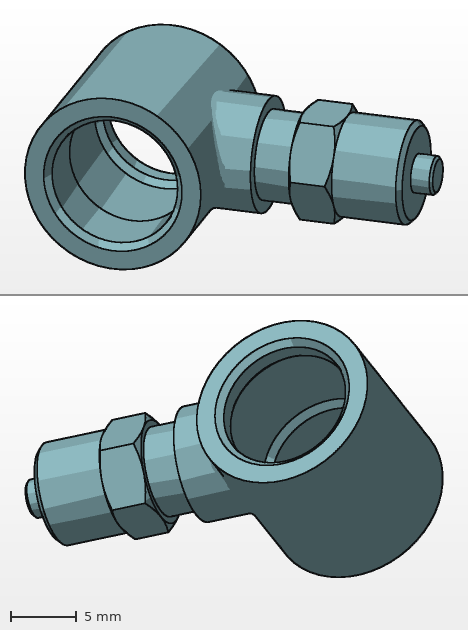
import cadquery as cq
import math

tube_diameter = 14.0
tube_length = 15.0
tube_front = -9.0
tube_back = tube_front + tube_length
bore_diameter = 10.0
bore_chamfer = 0.5
groove_depth = 0.45
groove_wall_angle = 35.0
groove_half_width = 4.15

collar_diameter = 9.0
collar_end = 9.5
collar_fillet = 0.5
neck_diameter = 7.0
nut_across_flats = 8.0
nut_start = 12.4
nut_end = 15.8
nut_chamfer_angle = 30.0
body_diameter = 8.0
body_end = 21.3
body_chamfer = 0.4
stem_diameter = 3.0
overall_length = 30.0
stem_end = overall_length - tube_diameter / 2
stem_chamfer = 0.2


def rod(diameter, start, end):
    """Round bar along X between two stations."""
    return cq.Workplane("YZ").workplane(offset=start).circle(diameter / 2).extrude(end - start)


def make_nut():
    """Hexagon with corners on Y and both ends coned down to the flats."""
    length = nut_end - nut_start
    corner_radius = nut_across_flats / math.sqrt(3)
    flat_radius = nut_across_flats / 2
    cone_length = (corner_radius - flat_radius) * math.tan(math.radians(nut_chamfer_angle))
    hexagon = cq.Workplane("YZ").workplane(offset=nut_start).polygon(6, 2 * corner_radius).extrude(length)
    coned_blank = (
        cq.Workplane("XY")
        .moveTo(nut_start, 0)
        .lineTo(nut_start, flat_radius)
        .lineTo(nut_start + cone_length, corner_radius)
        .lineTo(nut_end - cone_length, corner_radius)
        .lineTo(nut_end, flat_radius)
        .lineTo(nut_end, 0)
        .close()
        .revolve(360, (0, 0, 0), (1, 0, 0))
    )
    return hexagon.intersect(coned_blank)


def make_tube_with_collar():
    """Solid tube blank and collar, blended along the curve where they meet."""
    tube = cq.Workplane("XZ", origin=(0, tube_back, 0)).circle(tube_diameter / 2).extrude(tube_length)
    collar = rod(collar_diameter, 0, collar_end)
    joint_box = cq.selectors.BoxSelector(
        (0.3, -collar_diameter, -collar_diameter),
        (collar_end - 0.3, collar_diameter, collar_diameter),
        boundingbox=True,
    )
    joint = cq.selectors.SubtractSelector(joint_box, cq.selectors.TypeSelector("LINE"))
    return tube.union(collar).edges(joint).fillet(collar_fillet)


def make_bore():
    """Cutter for the through bore, with a chamfer at each mouth and a sloped-wall groove inside."""
    bore_radius = bore_diameter / 2
    groove_radius = bore_radius + groove_depth
    groove_wall_length = groove_depth / math.tan(math.radians(groove_wall_angle))
    groove_floor_half_width = groove_half_width - groove_wall_length
    mouth_radius = bore_radius + bore_chamfer
    return (
        cq.Workplane("XY")
        .moveTo(0, tube_front)
        .lineTo(mouth_radius, tube_front)
        .lineTo(bore_radius, tube_front + bore_chamfer)
        .lineTo(bore_radius, -groove_half_width)
        .lineTo(groove_radius, -groove_floor_half_width)
        .lineTo(groove_radius, groove_floor_half_width)
        .lineTo(bore_radius, groove_half_width)
        .lineTo(bore_radius, tube_back - bore_chamfer)
        .lineTo(mouth_radius, tube_back)
        .lineTo(0, tube_back)
        .close()
        .revolve(360, (0, 0, 0), (0, 1, 0))
    )


neck = rod(neck_diameter, collar_end, nut_start)
body = rod(body_diameter, nut_end, body_end).faces(">X").chamfer(body_chamfer)
stem = rod(stem_diameter, body_end, stem_end).faces(">X").chamfer(stem_chamfer)

result = make_tube_with_collar().cut(make_bore())
for section in (neck, make_nut(), body, stem):
    result = result.union(section)